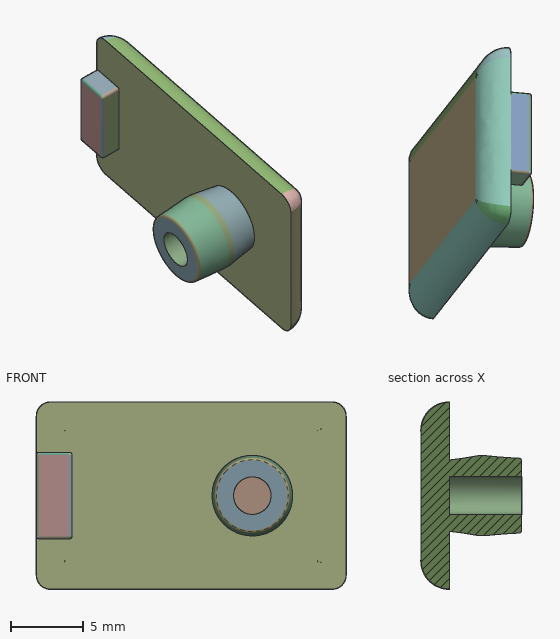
import cadquery as cq
import math

plate_length = 21.5
plate_height = 13.0
plate_thickness = 2.0
plate_corner_radius = plate_thickness / 2
smallest_corner_radius = 0.01
dome_steps = 8

block_length = 2.5
block_height = 6.0
block_depth = 1.5
edge_radius = 0.2

peg_from_left_end = 14.99
peg_x = peg_from_left_end - plate_length / 2
peg_length = 5.0
peg_root_radius = 2.5
peg_band_radius = 2.8
peg_tip_radius = 2.6
band_start = 2.0
band_end = 2.5
bore_diameter = 2.6


def rounded_section(angle):
    """Rounded rectangle where the quarter-round edge has turned by angle."""
    inset = plate_thickness * (1 - math.cos(angle))
    depth = plate_thickness * math.sin(angle)
    corner_radius = max(plate_corner_radius * math.cos(angle), smallest_corner_radius)
    sketch = (
        cq.Sketch()
        .rect(plate_length - 2 * inset, plate_height - 2 * inset)
        .vertices()
        .fillet(corner_radius)
    )
    return sketch.moved(cq.Location(cq.Vector(0, 0, -depth)))


def make_plate():
    angles = [math.pi / 2 * step / dome_steps for step in range(dome_steps + 1)]
    sections = [rounded_section(angle) for angle in angles]
    return cq.Workplane("XZ").placeSketch(*sections).loft()


def make_block():
    block = cq.Workplane("XY").box(
        block_length, block_depth, block_height, centered=(False, False, True)
    )
    block = block.edges("|Y or <Y").fillet(edge_radius)
    return block.translate((-plate_length / 2, -block_depth, 0))


def make_peg():
    peg = (
        cq.Workplane("XY")
        .lineTo(peg_root_radius, 0)
        .lineTo(peg_band_radius, -band_start)
        .lineTo(peg_band_radius, -band_end)
        .lineTo(peg_tip_radius, -peg_length)
        .lineTo(0, -peg_length)
        .close()
        .revolve(360, (0, 0, 0), (0, 1, 0))
    )
    peg = peg.faces("<Y").edges().fillet(edge_radius)
    bore = cq.Workplane("XZ").circle(bore_diameter / 2).extrude(peg_length)
    return peg.cut(bore).translate((peg_x, 0, 0))


result = make_plate().union(make_block()).union(make_peg())